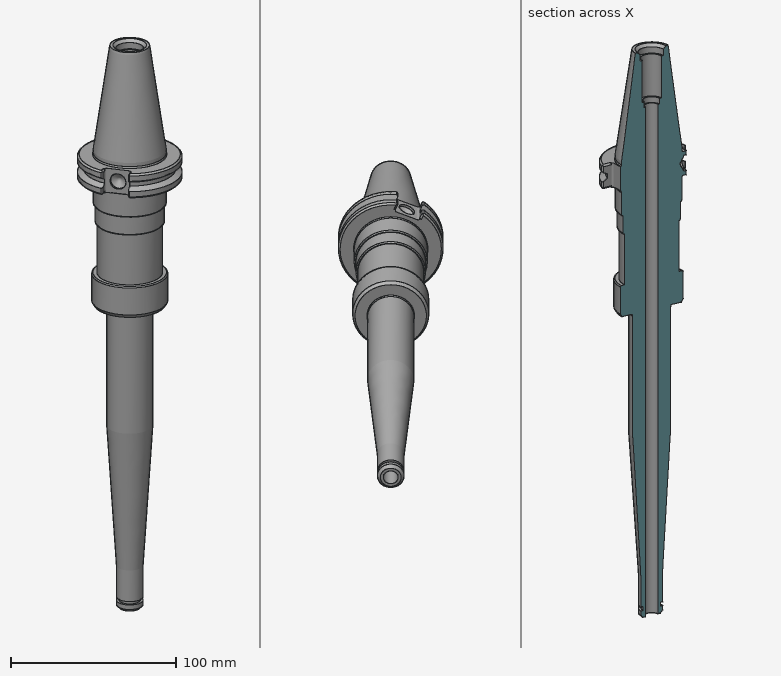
import cadquery as cq
import math

total_length = 369.0

shank_top_diameter = 24.7
taper_length = 68.3
taper_diameter = 44.3
shank_edge_width = 0.5
shank_edge_height = 1.5

flange_gap = 3.5
flange_diameter = 63.5
flange_width = 16.0
flange_edge = 1.0
groove_diameter = 56.0
groove_floor_width = 2.5
groove_flank_angle = 30
root_bevel_width = 0.5
root_bevel_height = 1.0

slot_width = 16.0
front_slot_floor = 25.0
back_slot_floor = 23.0
slot_edge = 1.0
slot_floor_radius = 1.0
slot_hole_diameter = 10.0
slot_hole_depth = 1.5
drill_point_angle = 118

step_edge = 0.7
collar_diameter = taper_diameter
collar_bottom = 265.0
shoulder_diameter = 42.0
shoulder_bottom = 252.8
body_diameter = 40.0
body_bottom = 220.0

nut_diameter = 46.0
nut_bottom = 199.3
nut_edge_width = 1.5
nut_edge_height = 2.2

extension_diameter = 28.0
extension_bottom = 119.5
tip_diameter = 16.2
tip_cone_bottom = 27.3
tip_groove_diameter = 13.0
tip_groove_top = 7.0
tip_groove_bottom = 4.8
tip_edge = 2.0

mouth_diameter = 16.5
mouth_edge = 2.0
mouth_depth = 6.0
thread_diameter = 13.5
thread_depth = 33.2
neck_diameter = 10.7
neck_depth = 37.0
bore_diameter = 9.0

gauge_z = total_length - taper_length
flange_top = gauge_z - flange_gap
flange_bottom = flange_top - flange_width
flange_middle = (flange_top + flange_bottom) / 2


def revolved(points):
    """Turn an outline of (diameter, z) points about the Z axis."""
    outline = [(diameter / 2, z) for diameter, z in points]
    return cq.Workplane("XZ").polyline(outline).close().revolve(360, (0, 0), (0, 1))


def turned_body():
    """The whole outside of the holder, except for the flange."""
    return revolved([
        (0, total_length),
        (shank_top_diameter - 2 * shank_edge_width, total_length),
        (shank_top_diameter, total_length - shank_edge_height),
        (taper_diameter, gauge_z),
        (collar_diameter, collar_bottom + step_edge),
        (collar_diameter - 2 * step_edge, collar_bottom),
        (shoulder_diameter, collar_bottom),
        (shoulder_diameter, shoulder_bottom + step_edge),
        (shoulder_diameter - 2 * step_edge, shoulder_bottom),
        (body_diameter, shoulder_bottom),
        (body_diameter, body_bottom),
        (nut_diameter - 2 * step_edge, body_bottom),
        (nut_diameter, body_bottom - step_edge),
        (nut_diameter, nut_bottom + nut_edge_height),
        (nut_diameter - 2 * nut_edge_width, nut_bottom),
        (extension_diameter + 2 * root_bevel_width, nut_bottom),
        (extension_diameter, nut_bottom - root_bevel_height),
        (extension_diameter, extension_bottom),
        (tip_diameter, tip_cone_bottom),
        (tip_diameter, tip_groove_top),
        (tip_groove_diameter, tip_groove_top),
        (tip_groove_diameter, tip_groove_bottom),
        (tip_diameter, tip_groove_bottom),
        (tip_diameter, tip_edge),
        (tip_diameter - 2 * tip_edge, 0),
        (0, 0),
    ])


def flange():
    """The gripper flange with its V-groove and bevelled rims."""
    groove_depth = (flange_diameter - groove_diameter) / 2
    flank_run = groove_depth * math.tan(math.radians(groove_flank_angle))
    floor_half = groove_floor_width / 2
    mouth_half = floor_half + flank_run
    face_diameter = flange_diameter - 2 * flange_edge
    return revolved([
        (0, flange_top + root_bevel_height),
        (collar_diameter, flange_top + root_bevel_height),
        (collar_diameter + 2 * root_bevel_width, flange_top),
        (face_diameter, flange_top),
        (flange_diameter, flange_top - flange_edge),
        (flange_diameter, flange_middle + mouth_half),
        (groove_diameter, flange_middle + floor_half),
        (groove_diameter, flange_middle - floor_half),
        (flange_diameter, flange_middle - mouth_half),
        (flange_diameter, flange_bottom + flange_edge),
        (face_diameter, flange_bottom),
        (collar_diameter + 2 * root_bevel_width, flange_bottom),
        (collar_diameter, flange_bottom - root_bevel_height),
        (0, flange_bottom - root_bevel_height),
    ])


def drive_slot(floor, side):
    """A slot across the flange rim on the +Y (side 1) or -Y (side -1) side, its wall edges bevelled."""
    half = slot_width / 2
    flared = half + slot_edge
    rim_at_wall = math.sqrt((flange_diameter / 2) ** 2 - half**2)
    rim_at_flare = math.sqrt((flange_diameter / 2) ** 2 - flared**2)
    top = flange_top + root_bevel_height
    bottom = flange_bottom - root_bevel_height
    beyond = flange_diameter / 2 + slot_edge

    channel = (
        cq.Workplane("XZ", origin=(0, side * floor, flange_middle))
        .rect(slot_width, top - bottom)
        .extrude(-side * (beyond - floor))
        .faces("<Y" if side > 0 else ">Y")
        .edges("|Z")
        .fillet(slot_floor_radius)
    )

    flare = [
        (-half, side * (rim_at_wall - slot_edge)),
        (half, side * (rim_at_wall - slot_edge)),
        (flared, side * rim_at_flare),
        (flared, side * beyond),
        (-flared, side * beyond),
        (-flared, side * rim_at_flare),
    ]
    mouth = cq.Workplane("XY", origin=(0, 0, bottom)).polyline(flare).close().extrude(top - bottom)

    wedge = [
        (half, flange_top - slot_edge),
        (flared, flange_top),
        (-flared, flange_top),
        (-half, flange_top - slot_edge),
    ]
    wedge_start = floor + slot_floor_radius
    top_flare = (
        cq.Workplane("XZ", origin=(0, side * wedge_start, 0))
        .polyline(wedge)
        .close()
        .extrude(-side * (beyond - wedge_start))
    )
    bottom_flare = top_flare.mirror("XY", (0, 0, flange_middle))
    return channel.union(mouth).union(top_flare).union(bottom_flare)


def slot_hole():
    """A drilled blind hole with a conical bottom in the front slot floor."""
    radius = slot_hole_diameter / 2
    point = radius / math.tan(math.radians(drill_point_angle / 2))
    outline = [(0, 0), (radius, 0), (radius, slot_hole_depth), (0, slot_hole_depth + point)]
    drill = cq.Workplane("XY").polyline(outline).close().revolve(360, (0, 0), (0, 1))
    return drill.translate((0, -front_slot_floor, flange_middle))


def axial_bore():
    """The through bore, wider at the threaded upper end."""
    mouth_bottom = total_length - mouth_depth
    thread_bottom = total_length - thread_depth
    neck_bottom = total_length - neck_depth
    return revolved([
        (0, 0),
        (bore_diameter, 0),
        (bore_diameter, neck_bottom),
        (neck_diameter, neck_bottom),
        (neck_diameter, thread_bottom),
        (thread_diameter, thread_bottom),
        (thread_diameter, mouth_bottom),
        (mouth_diameter, mouth_bottom),
        (mouth_diameter, total_length - mouth_edge),
        (mouth_diameter + 2 * mouth_edge, total_length),
        (0, total_length),
    ])


result = (
    turned_body()
    .union(flange())
    .cut(drive_slot(front_slot_floor, -1))
    .cut(drive_slot(back_slot_floor, 1))
    .cut(slot_hole())
    .cut(axial_bore())
)